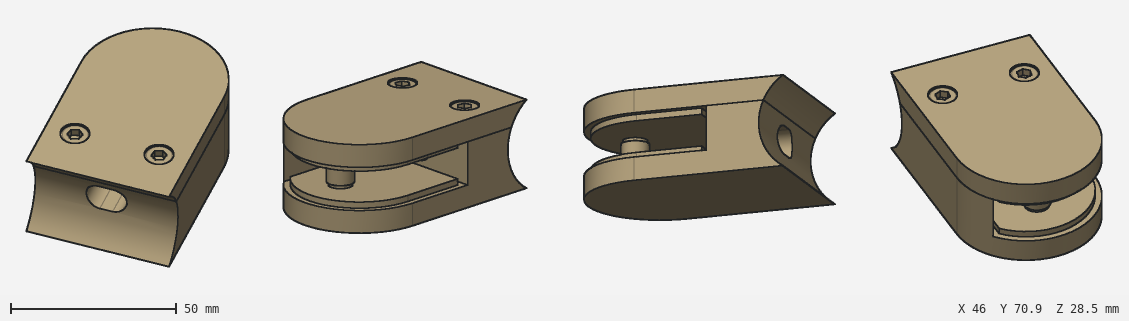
import cadquery as cq
import math

length = 70.85
width = 46.0
height = 28.5
nose_radius = width / 2
nose_center_y = length - nose_radius
saddle_radius = 16.9

slot_height = 13.9
slot_start_y = 24.7
side_wall_thickness = 5.45
side_wall_x = width / 2 - side_wall_thickness
plate_thickness = (height - slot_height) / 2
cover_bottom_z = slot_height / 2

gasket_thickness = 2.0
gasket_edge_margin = 2.05
gasket_wall_gap = 2.2
gasket_face_z = slot_height / 2 - gasket_thickness

pin_y = 55.85
pin_radius = 4.3
pin_neck_radius = 3.75
pin_body_height = 7.7

web_hole_width = 13.05
web_hole_height = 8.9

screw_half_spacing = 13.5
screw_y = 16.9
head_radius = 4.45
head_height = 4.95
head_edge_fillet = 0.6
head_recess = 0.3
shank_radius = 2.5
shank_length = 11.35
hex_circumradius = 2.35
hex_depth = 2.35
hex_angles = (18.0, 23.0)
screw_x_positions = (-screw_half_spacing, screw_half_spacing)
head_top_z = height / 2 - head_recess
head_bottom_z = head_top_z - head_height


def nose_plate(start_y, radius, bottom_z, thickness):
    """Plate with a straight end at start_y and a round end about the nose centre."""
    return (
        cq.Workplane("XY", origin=(0, 0, bottom_z))
        .moveTo(-radius, start_y)
        .lineTo(radius, start_y)
        .lineTo(radius, nose_center_y)
        .threePointArc((0, nose_center_y + radius), (-radius, nose_center_y))
        .close()
        .extrude(thickness)
    )


def cylinder(x, y, bottom_z, radius, cylinder_height):
    """Upright cylinder."""
    return cq.Workplane("XY", origin=(x, y, bottom_z)).circle(radius).extrude(cylinder_height)


def saddle_cutter():
    """Tube along X that touches the corners of the clamp's flat end."""
    axis_y = -math.sqrt(saddle_radius**2 - (height / 2) ** 2)
    return (
        cq.Workplane("YZ")
        .center(axis_y, 0)
        .circle(saddle_radius)
        .extrude(width, both=True)
    )


def screw_envelope(x):
    """Head and shank without edge rounding or socket."""
    shank = cylinder(x, screw_y, head_bottom_z - shank_length, shank_radius, shank_length)
    head = cylinder(x, screw_y, head_bottom_z, head_radius, head_height)
    return shank.union(head)


def cut_screw_holes(body):
    """Remove the space taken by both screws and the recess above their heads."""
    for x in screw_x_positions:
        recess = cylinder(x, screw_y, head_top_z, head_radius, head_recess)
        body = body.cut(screw_envelope(x)).cut(recess)
    return body


def make_housing():
    """Lower plate, web and side wall in one piece."""
    housing = nose_plate(0, nose_radius, -height / 2, height - plate_thickness)
    glass_slot = cq.Workplane("XY").box(
        width / 2 + side_wall_x,
        length - slot_start_y,
        slot_height,
        centered=(False, False, True),
    ).translate((-width / 2, slot_start_y, 0))
    web_hole = (
        cq.Workplane("XZ")
        .slot2D(web_hole_width, web_hole_height)
        .extrude(-slot_start_y)
    )
    housing = housing.cut(glass_slot).cut(web_hole).cut(saddle_cutter())
    return cut_screw_holes(housing)


def make_cover():
    """Upper plate, counterbored for the screws."""
    cover = nose_plate(0, nose_radius, cover_bottom_z, plate_thickness)
    return cut_screw_holes(cover.cut(saddle_cutter()))


def make_gasket(bottom_z):
    """Slot lining set back from the open edges and from the web and side wall."""
    gasket = nose_plate(
        slot_start_y + gasket_wall_gap,
        nose_radius - gasket_edge_margin,
        bottom_z,
        gasket_thickness,
    )
    wall_clearance = cq.Workplane("XY").box(
        width, length, height, centered=(False, False, True)
    ).translate((side_wall_x - gasket_wall_gap, 0, 0))
    return gasket.cut(wall_clearance)


def make_pin():
    """Stepped pin with a neck at each end resting on the gaskets."""
    neck = cylinder(0, pin_y, -gasket_face_z, pin_neck_radius, 2 * gasket_face_z)
    body = cylinder(0, pin_y, -pin_body_height / 2, pin_radius, pin_body_height)
    return neck.union(body)


def make_screw(x, hex_angle):
    """Socket head screw sunk just below the cover's top face."""
    socket = (
        cq.Workplane("XY")
        .polygon(6, 2 * hex_circumradius)
        .extrude(-hex_depth)
        .rotate((0, 0, 0), (0, 0, 1), hex_angle)
        .translate((x, screw_y, head_top_z))
    )
    return screw_envelope(x).faces(">Z").edges().fillet(head_edge_fillet).cut(socket)


housing = make_housing()
cover = make_cover()
pin = make_pin()
gaskets = [make_gasket(z) for z in (-slot_height / 2, gasket_face_z)]
screws = [make_screw(x, angle) for x, angle in zip(screw_x_positions, hex_angles)]

result = cq.Compound.makeCompound(
    [
        housing.val(),
        cover.val(),
        pin.val(),
        *[gasket.val() for gasket in gaskets],
        *[screw.val() for screw in screws],
    ]
)